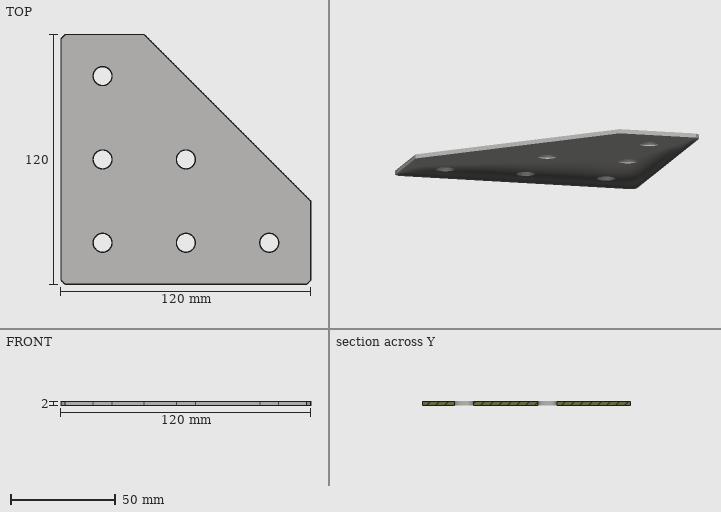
import cadquery as cq

side = 120.0
thickness = 2.0
corner_cut = 2.0

cells = 3
pitch = side / cells
edge_distance = pitch / 2
hole_diameter = 9.0

end_width = pitch


def plate():
    """L-corner plate: a square with one large diagonal and three small corner cuts."""
    outline = [
        (corner_cut, 0),
        (side - corner_cut, 0),
        (side, corner_cut),
        (side, end_width),
        (end_width, side),
        (corner_cut, side),
        (0, side - corner_cut),
        (0, corner_cut),
    ]
    return cq.Workplane("XY").polyline(outline).close().extrude(thickness)


def hole_centres():
    """Triangular pattern: each row up the plate has one hole fewer."""
    return [
        (edge_distance + column * pitch, edge_distance + row * pitch)
        for row in range(cells)
        for column in range(cells - row)
    ]


def holes():
    """Cylinders that pass through the full thickness."""
    return cq.Workplane("XY").pushPoints(hole_centres()).circle(hole_diameter / 2).extrude(thickness)


result = plate().cut(holes())